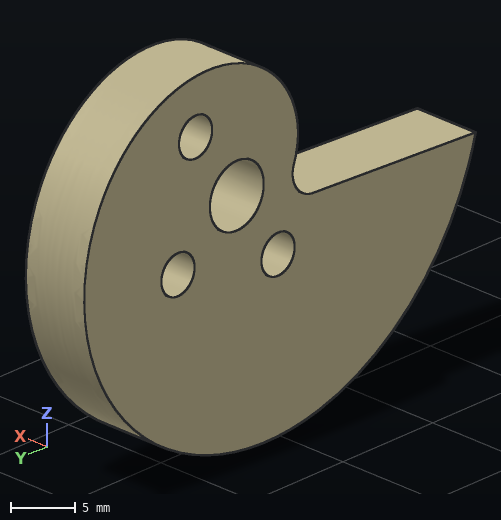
import cadquery as cq
import math

thickness = 6.35

base_radius = 6.06
pitch = 21.2
tip_angle = 352.6

step_slope = 2.7
root_fillet = 2.4

bore_diameter = 6.0
screw_hole_diameter = 3.7
screw_circle_radius = 8.0
screw_hole_angles = (125, 215, 305)

spiral_samples = 48
start_search_range = (-60.0, 0.0)
bisection_steps = 50


def spiral_radius(angle):
    return base_radius + pitch * angle / 360


def polar_point(radius, angle):
    """Point in the YZ plane at a radius and angle about the bore."""
    turn = math.radians(angle)
    return (-radius * math.cos(turn), radius * math.sin(turn))


def spiral_point(angle):
    return polar_point(spiral_radius(angle), angle)


def height_above_step(angle):
    """Height of a spiral point above the line of the step face."""
    tip_y, tip_z = spiral_point(tip_angle)
    y, z = spiral_point(angle)
    return z - tip_z - (y - tip_y) * math.tan(math.radians(step_slope))


def find_start_angle():
    """Bisect for the angle where the spiral rises out of the step face."""
    below, above = start_search_range
    for _ in range(bisection_steps):
        middle = (below + above) / 2
        if height_above_step(middle) < 0:
            below = middle
        else:
            above = middle
    return above


def make_cam_plate():
    start_angle = find_start_angle()
    sweep = tip_angle - start_angle
    angles = [start_angle + sweep * i / spiral_samples for i in range(spiral_samples + 1)]
    spiral = [spiral_point(angle) for angle in angles]
    plate = (
        cq.Workplane("YZ")
        .moveTo(*spiral[0])
        .spline(spiral[1:], includeCurrent=True)
        .close()
        .extrude(thickness)
    )
    root_edge = cq.selectors.NearestToPointSelector((thickness / 2, *spiral[0]))
    return plate.edges(root_edge).fillet(root_fillet)


def cut_holes(plate):
    screw_holes = [polar_point(screw_circle_radius, angle) for angle in screw_hole_angles]
    bore_tool = cq.Workplane("YZ").circle(bore_diameter / 2).extrude(thickness)
    screw_tools = (
        cq.Workplane("YZ")
        .pushPoints(screw_holes)
        .circle(screw_hole_diameter / 2)
        .extrude(thickness)
    )
    return plate.cut(bore_tool).cut(screw_tools)


result = cut_holes(make_cam_plate())